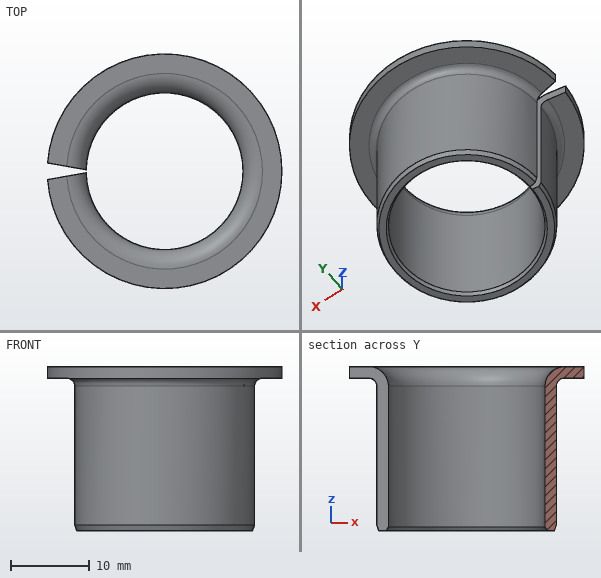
import cadquery as cq
import math

total_height = 21.0
bore_radius = 10.0
wall = 1.5
flange_radius = 15.0
outer_bend_radius = 1.0
lead_in_height = 0.75
lead_in_angle = 20.0
bore_bevel_height = 0.5
bore_bevel_angle = 30.0
slit_half_angle = 10.0
slit_apex_radius = 9.0

sleeve_radius = bore_radius + wall
inner_bend_radius = outer_bend_radius + wall
bend_center_radius = sleeve_radius + outer_bend_radius
flange_bottom = total_height - wall
bend_start = flange_bottom - outer_bend_radius
lead_in_depth = lead_in_height * math.tan(math.radians(lead_in_angle))
bore_bevel_depth = bore_bevel_height * math.tan(math.radians(bore_bevel_angle))


def bend_middle(radius):
    """Middle point of a quarter bend about the shared bend centre."""
    offset = radius * math.sqrt(0.5)
    return (bend_center_radius - offset, bend_start + offset)


def flanged_sleeve():
    """Sleeve, bend and flange as one revolved wall section."""
    section = (
        cq.Workplane("XZ")
        .moveTo(bore_radius + bore_bevel_depth, 0)
        .lineTo(sleeve_radius - lead_in_depth, 0)
        .lineTo(sleeve_radius, lead_in_height)
        .lineTo(sleeve_radius, bend_start)
        .threePointArc(bend_middle(outer_bend_radius), (bend_center_radius, flange_bottom))
        .lineTo(flange_radius, flange_bottom)
        .lineTo(flange_radius, total_height)
        .lineTo(bend_center_radius, total_height)
        .threePointArc(bend_middle(inner_bend_radius), (bore_radius, bend_start))
        .lineTo(bore_radius, bore_bevel_height)
        .close()
    )
    sleeve = section.revolve(360, (0, 0, 0), (0, 1, 0))
    return sleeve.rotate((0, 0, 0), (0, 0, 1), 180)


def slit_wedge():
    """Full-height wedge that opens outward on the -X side."""
    outer_x = flange_radius + wall
    half_width = (outer_x - slit_apex_radius) * math.tan(math.radians(slit_half_angle))
    return (
        cq.Workplane("XY")
        .polyline([(-slit_apex_radius, 0), (-outer_x, half_width), (-outer_x, -half_width)])
        .close()
        .extrude(total_height)
    )


result = flanged_sleeve().cut(slit_wedge())